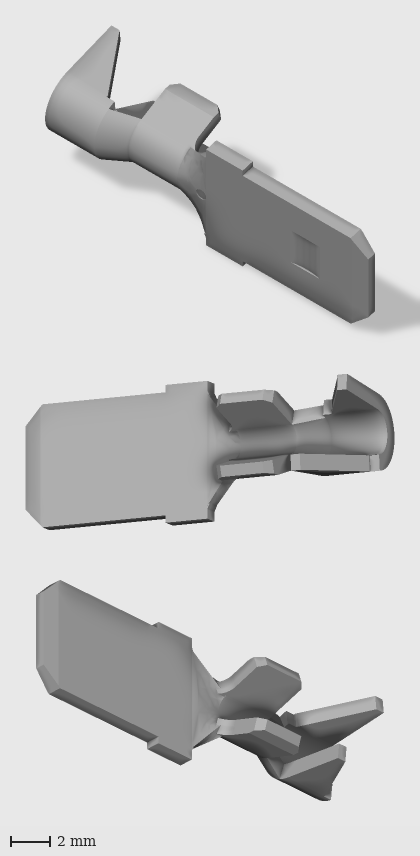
import cadquery as cq
import math

LENGTH = 20.2
SHEET = 0.83

INSULATION_END = 3.17
CRIMP_START = 4.75
CRIMP_END = CRIMP_START + INSULATION_END
SHOULDER_START = 9.81
SHOULDER_END = 12.17

INSULATION_RADIUS = 2.0
INSULATION_BOTTOM = -0.79
INSULATION_LEAN = 6.0
INSULATION_TOP = 4.75
INSULATION_TIP_WIDTH = 0.52
INSULATION_RIM_DROP = 0.1
INSULATION_TAPER_END = INSULATION_END - INSULATION_TIP_WIDTH

CRIMP_RADIUS = 1.62
CRIMP_LEAN = 18.0
CRIMP_TOP = 4.0
CRIMP_HALF_HEIGHT = 2.16
CRIMP_CORNER = 0.38
BLEND_RISE = 0.7
BLEND_RUN = 0.46
BLEND_DROP = 0.12

NECK_CUT = 23.4
TRANSITION_HALF_WIDTH = 2.9

CORNER_LENGTH = 0.15
CORNER_WIDTH = 0.16

SHOULDER_HALF_WIDTH = 3.57
TAB_HALF_WIDTH = 3.2
TIP_CORNER = 1.03
TIP_BEVEL_LENGTH = 0.93
TIP_BEVEL_DEPTH = 0.15

DETENT_X = 16.23
DETENT_LENGTH = 1.92
DETENT_HEIGHT = 2.38
DETENT_DEPTH = 0.12

MARK_RADIUS = 0.32
MARK_DEPTH = 0.06


def polar(center, radius, degrees):
    """Point (y, z) at an angle measured from +Z toward -Y."""
    angle = math.radians(degrees)
    return (center - radius * math.sin(angle), radius * math.cos(angle))


def u_section(x, bottom, radius, cut_angle):
    """Round channel wire in the plane X = x, with radial edges at cut_angle below its centre."""
    center = bottom + radius
    inner_radius = radius - SHEET
    outer_y, outer_z = polar(center, radius, cut_angle)
    inner_y, inner_z = polar(center, inner_radius, cut_angle)
    return (
        cq.Workplane("YZ", origin=(x, 0, 0))
        .moveTo(outer_y, outer_z)
        .threePointArc((bottom, 0), (outer_y, -outer_z))
        .lineTo(inner_y, -inner_z)
        .threePointArc((bottom + SHEET, 0), (inner_y, inner_z))
        .close()
    )


def flat_section(x, half_width):
    """Flat strip wire in the plane X = x, with its edges in the same order as u_section."""
    return (
        cq.Workplane("YZ", origin=(x, 0, 0))
        .moveTo(0, half_width)
        .lineTo(0, -half_width)
        .lineTo(SHEET, -half_width)
        .lineTo(SHEET, half_width)
        .close()
    )


def blend_sections(first, second):
    return cq.Workplane(cq.Solid.makeLoft([first.val(), second.val()], True))


def wing_plane(bottom, radius, lean):
    """Plane of the inner face of the +Z wing: X along the part, local Y up the wing."""
    y, z = polar(bottom + radius, radius - SHEET, lean)
    angle = math.radians(lean)
    normal = (0, -math.sin(angle), math.cos(angle))
    return cq.Plane(origin=(0, y, z), xDir=(1, 0, 0), normal=normal)


def wing_length(plane, top, lean):
    return (top - plane.origin.y) / math.cos(math.radians(lean))


def insulation_crimp():
    body = u_section(0, INSULATION_BOTTOM, INSULATION_RADIUS, INSULATION_LEAN).extrude(INSULATION_END)
    plane = wing_plane(INSULATION_BOTTOM, INSULATION_RADIUS, INSULATION_LEAN)
    tip = wing_length(plane, INSULATION_TOP, INSULATION_LEAN)
    outline = [(0, 0), (INSULATION_TAPER_END, 0), (INSULATION_TIP_WIDTH, tip), (0, tip)]
    rim_outline = [
        (INSULATION_TAPER_END, -INSULATION_RIM_DROP),
        (INSULATION_END, -INSULATION_RIM_DROP),
        (INSULATION_END, SHEET),
        (INSULATION_TAPER_END, SHEET),
    ]

    def on_upper_side(points):
        return cq.Workplane(plane).polyline(points).close().extrude(SHEET)

    def on_lower_side(points):
        return on_upper_side([(INSULATION_END - x, y) for x, y in points]).mirror("XY")

    body = body.cut(on_upper_side(rim_outline)).cut(on_lower_side(rim_outline))
    return body.union(on_upper_side(outline)).union(on_lower_side(outline))


def neck():
    return blend_sections(
        u_section(INSULATION_END, INSULATION_BOTTOM, INSULATION_RADIUS, NECK_CUT),
        u_section(CRIMP_START, 0, CRIMP_RADIUS, CRIMP_LEAN),
    )


def conductor_crimp():
    body = u_section(CRIMP_START, 0, CRIMP_RADIUS, CRIMP_LEAN).extrude(CRIMP_END - CRIMP_START)
    plane = wing_plane(0, CRIMP_RADIUS, CRIMP_LEAN)
    tip = wing_length(plane, CRIMP_TOP, CRIMP_LEAN)
    wing = (
        cq.Workplane(plane)
        .moveTo(CRIMP_START, 0)
        .lineTo(CRIMP_START, tip - CRIMP_CORNER)
        .lineTo(CRIMP_START + CRIMP_CORNER, tip)
        .lineTo(CRIMP_END - CRIMP_CORNER, tip)
        .lineTo(CRIMP_END, tip - CRIMP_CORNER)
        .lineTo(CRIMP_END, BLEND_RISE)
        .tangentArcPoint((CRIMP_END + BLEND_RUN, -BLEND_DROP), relative=False)
        .lineTo(CRIMP_END, -BLEND_DROP)
        .lineTo(CRIMP_END, 0)
        .close()
        .extrude(SHEET)
    )
    coined_space = cq.Workplane("XY").box(2 * LENGTH, 2 * LENGTH, 2 * CRIMP_HALF_HEIGHT)
    wing = wing.intersect(coined_space)
    return body.union(wing).union(wing.mirror("XY"))


def transition():
    return blend_sections(
        u_section(CRIMP_END, 0, CRIMP_RADIUS, CRIMP_LEAN),
        flat_section(SHOULDER_START, TRANSITION_HALF_WIDTH),
    )


def shoulder_corners():
    inner_width = TRANSITION_HALF_WIDTH - CORNER_LENGTH
    outline = [
        (SHOULDER_START - CORNER_LENGTH, inner_width),
        (SHOULDER_START, TRANSITION_HALF_WIDTH + CORNER_WIDTH),
        (SHOULDER_START, inner_width),
    ]
    upper = cq.Workplane("XZ").polyline(outline).close().extrude(-SHEET)
    return upper.union(upper.mirror("XY"))


def tab():
    upper_outline = [
        (SHOULDER_START, SHOULDER_HALF_WIDTH),
        (SHOULDER_END, SHOULDER_HALF_WIDTH),
        (SHOULDER_END, TAB_HALF_WIDTH),
        (LENGTH - TIP_CORNER, TAB_HALF_WIDTH),
        (LENGTH, TAB_HALF_WIDTH - TIP_CORNER),
    ]
    lower_outline = [(x, -z) for x, z in reversed(upper_outline)]
    plate = cq.Workplane("XZ").polyline(upper_outline + lower_outline).close().extrude(-SHEET)
    bevelled_side = (
        cq.Workplane("XY")
        .moveTo(SHOULDER_START, 0)
        .lineTo(LENGTH - TIP_BEVEL_LENGTH, 0)
        .lineTo(LENGTH, TIP_BEVEL_DEPTH)
        .lineTo(LENGTH, SHEET - TIP_BEVEL_DEPTH)
        .lineTo(LENGTH - TIP_BEVEL_LENGTH, SHEET)
        .lineTo(SHOULDER_START, SHEET)
        .close()
        .extrude(SHOULDER_HALF_WIDTH, both=True)
    )
    return plate.intersect(bevelled_side)


def detent():
    half_length = DETENT_LENGTH / 2
    return (
        cq.Workplane("XY")
        .moveTo(DETENT_X - half_length, 0)
        .threePointArc((DETENT_X, DETENT_DEPTH), (DETENT_X + half_length, 0))
        .close()
        .extrude(DETENT_HEIGHT / 2, both=True)
    )


def round_mark():
    return (
        cq.Workplane("XZ")
        .center(SHOULDER_START - MARK_RADIUS, 0)
        .circle(MARK_RADIUS)
        .extrude(-MARK_DEPTH)
    )


result = (
    insulation_crimp()
    .union(neck())
    .union(conductor_crimp())
    .union(transition())
    .union(shoulder_corners())
    .union(tab())
    .cut(detent())
    .cut(round_mark())
)